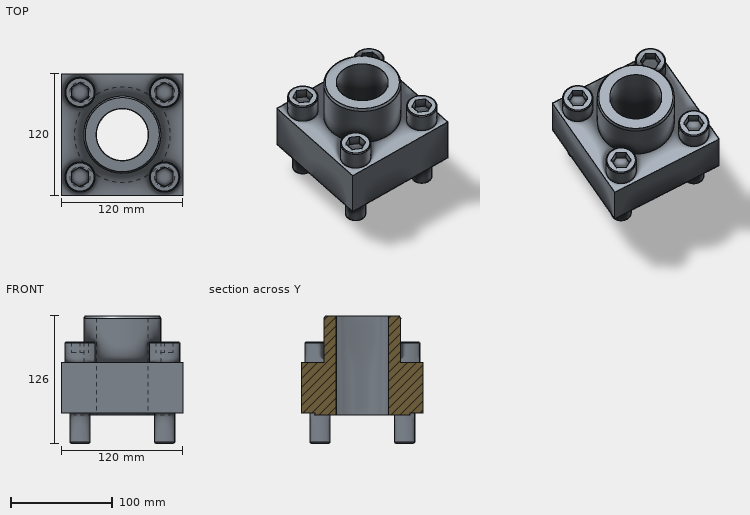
import cadquery as cq

flange_side = 120.0
flange_height = 50.0
overall_height = 126.0

hub_diameter = 76.1
bore_diameter = 51.2
hub_chamfer_height = 2.5
hub_chamfer_width = 1.5
spigot_diameter = 94.2
spigot_height = 2.0

screw_spacing = 83.4
shank_diameter = 20.0
shank_projection = 30.0
shank_chamfer = 1.5
head_diameter = 30.0
head_height = shank_diameter
head_chamfer = 1.0
socket_across_flats = 17.0
socket_depth = 10.1

flange_top = flange_height
hub_top = overall_height - shank_projection
head_top = flange_top + head_height
shank_bottom = -shank_projection


def cylinder(diameter, bottom, top):
    """Upright cylinder on the Z axis between two heights."""
    return cq.Workplane("XY").workplane(offset=bottom).circle(diameter / 2).extrude(top - bottom)


def make_flange():
    """Square flange with its hub, low spigot underneath and through bore."""
    block = cq.Workplane("XY").rect(flange_side, flange_side).extrude(flange_height)
    hub = cylinder(hub_diameter, 0, hub_top)
    hub = hub.faces(">Z").edges().chamfer(hub_chamfer_height, hub_chamfer_width)
    spigot = cylinder(spigot_diameter, -spigot_height, 0)
    bore = cylinder(bore_diameter, -spigot_height, hub_top)
    return block.union(hub).union(spigot).cut(bore)


def make_screw():
    """Socket head screw centred on the Z axis, with hexagon corners along Y."""
    shank = cylinder(shank_diameter, shank_bottom, flange_top)
    shank = shank.faces("<Z").edges().chamfer(shank_chamfer)
    head = cylinder(head_diameter, flange_top, head_top)
    head = head.faces(">Z").edges().chamfer(head_chamfer)
    socket = (
        cq.Workplane("XY")
        .workplane(offset=head_top - socket_depth)
        .polygon(6, socket_across_flats, circumscribed=True)
        .extrude(socket_depth)
    )
    return shank.union(head).cut(socket)


result = make_flange()
screw = make_screw()
for x_side in (-1, 1):
    for y_side in (-1, 1):
        x = x_side * screw_spacing / 2
        y = y_side * screw_spacing / 2
        result = result.union(screw.translate((x, y, 0)))